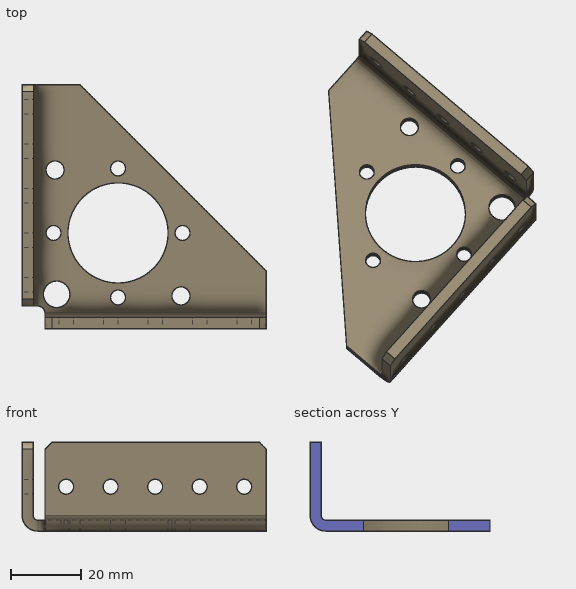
import cadquery as cq
import math

side = 69.72
height = 25.4
thickness = 3.2
bend_inner_radius = 1.3
bend_outer_radius = bend_inner_radius + thickness

corner_notch = 6.5
notch_fillet = corner_notch - bend_outer_radius
edge_beyond_wall = 16.5
flange_chamfer = 2.0

flange_hole_diameter = 4.2
flange_hole_pitch = 12.7
flange_hole_count = 5
flange_hole_end_margin = 6.35
flange_hole_height = height / 2

bore_center = 27.38
bore_diameter = 28.5
screw_hole_diameter = 4.2
screw_hole_radius = 18.4
side_hole_diameter = 5.1
side_hole_radius = 25.4
corner_hole_diameter = 7.5
corner_hole_position = 9.87


def drill(points, diameter):
    """Vertical cutters through the base plate."""
    return cq.Workplane("XY").pushPoints(points).circle(diameter / 2).extrude(thickness)


def make_base():
    """Flat plate inside the bends, with its diagonal edge and rounded inner corner."""
    plate = (
        cq.Workplane("XY")
        .moveTo(bend_outer_radius, corner_notch)
        .radiusArc((corner_notch, bend_outer_radius), notch_fillet)
        .lineTo(side, bend_outer_radius)
        .lineTo(side, edge_beyond_wall)
        .lineTo(edge_beyond_wall, side)
        .lineTo(bend_outer_radius, side)
        .close()
        .extrude(thickness)
    )
    bore = drill([(bore_center, bore_center)], bore_diameter)
    corner_hole = drill([(corner_hole_position, corner_hole_position)], corner_hole_diameter)

    screw_points = [
        (bore_center + screw_hole_radius, bore_center),
        (bore_center - screw_hole_radius, bore_center),
        (bore_center, bore_center + screw_hole_radius),
        (bore_center, bore_center - screw_hole_radius),
    ]
    screw_holes = drill(screw_points, screw_hole_diameter)

    side_offset = side_hole_radius * math.sqrt(0.5)
    side_points = [
        (bore_center - side_offset, bore_center + side_offset),
        (bore_center + side_offset, bore_center - side_offset),
    ]
    side_holes = drill(side_points, side_hole_diameter)
    return plate.cut(bore).cut(corner_hole).cut(screw_holes).cut(side_holes)


def make_left_flange():
    """Bend and upright wall along the -X side, chamfered and drilled."""
    flange = (
        cq.Workplane("XZ", origin=(0, side, 0))
        .moveTo(bend_outer_radius, 0)
        .radiusArc((0, bend_outer_radius), bend_outer_radius)
        .lineTo(0, height)
        .lineTo(thickness, height)
        .lineTo(thickness, bend_outer_radius)
        .radiusArc((bend_outer_radius, thickness), -bend_inner_radius)
        .close()
        .extrude(side - corner_notch)
    )
    flange = flange.faces(">Z").edges("|X").chamfer(flange_chamfer)

    last_hole = side - flange_hole_end_margin
    hole_points = [
        (last_hole - i * flange_hole_pitch, flange_hole_height)
        for i in range(flange_hole_count)
    ]
    holes = (
        cq.Workplane("YZ")
        .pushPoints(hole_points)
        .circle(flange_hole_diameter / 2)
        .extrude(thickness)
    )
    return flange.cut(holes)


left_flange = make_left_flange()
front_flange = left_flange.mirror("XZ").rotate((0, 0, 0), (0, 0, 1), 90)

result = make_base().union(left_flange).union(front_flange)